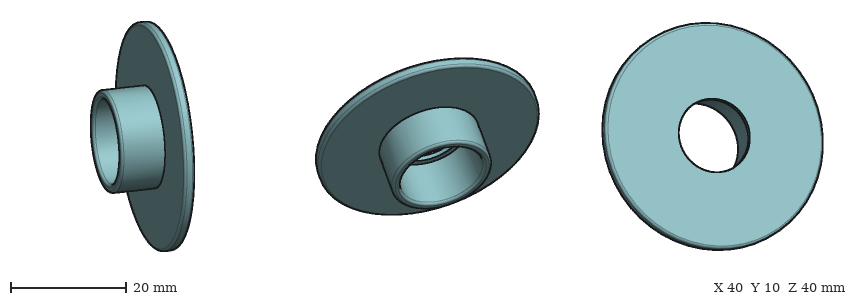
import cadquery as cq

flange_diameter = 40.0
flange_thickness = 2.0

total_depth = 10.0
hub_diameter = 18.0
hub_length = total_depth - flange_thickness

bore_diameter = 13.0
counterbore_diameter = 15.0
step_thickness = 1.0
counterbore_depth = total_depth - step_thickness

edge_radius = 0.5


def cylinder(diameter, start_y, length):
    """Cylinder on the Y axis, running from start_y towards -Y."""
    plane = cq.Workplane("XZ", origin=(0, start_y, 0))
    return plane.circle(diameter / 2).extrude(length)


def make_flange():
    disc = cylinder(flange_diameter, 0, flange_thickness)
    return disc.edges().fillet(edge_radius)


def make_hub():
    return cylinder(hub_diameter, -flange_thickness, hub_length)


def make_stepped_bore():
    bore = cylinder(bore_diameter, 0, total_depth)
    counterbore = cylinder(counterbore_diameter, -step_thickness, counterbore_depth)
    return bore.union(counterbore)


body = make_flange().union(make_hub()).cut(make_stepped_bore())

result = body.faces("<Y").edges().fillet(edge_radius)